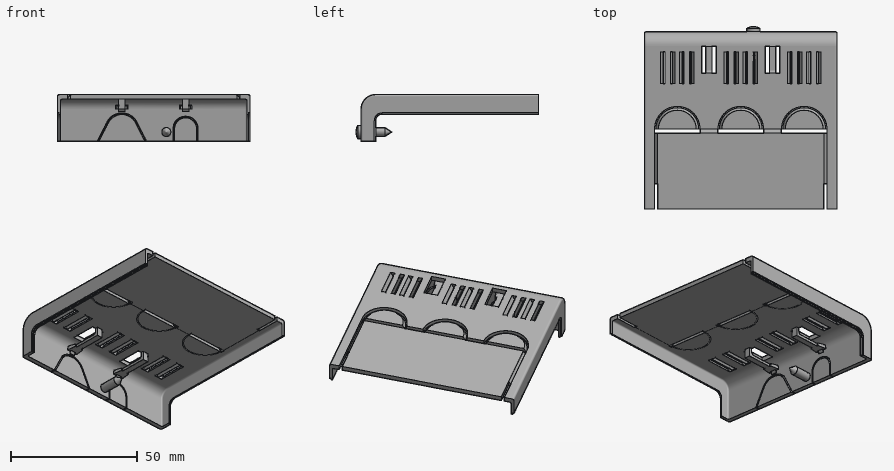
import cadquery as cq
import math

width = 76.2
depth = 70.2
height = 18.5
plate_thickness = 1.9
side_thickness = 1.2
bend_radius = 5.9
outer_edge_radius = 0.9
inner_edge_radius = 0.6
overlap = 0.8

skin_thickness = 0.6
skin_height = 7.25
skin_leg_width = 5.25
skin_corner_radius = 3.2
lip_reach = 0.6

panel_rear = 30.1
panel_half_width = 32.85
panel_gap = 1.5
moon_radius = 9.0
moon_pitch = 25.1
moon_floor_width = 0.5
moon_flank_width = 1.0
web_thickness = 0.4
side_web_front = 10.0

vent_width = 1.7
vent_length = 12.5
vent_setback = 8.1
vent_shift = 1.15
vent_inner_offset = 1.7
vent_outer_offset = 5.8

latch_spacing = 25.15
window_width = 5.65
window_length = 10.6
latch_width = 2.5
latch_wall = 1.2
latch_bottom = 5.7
latch_fillet = 1.2
root_width = 4.95
root_top = 4.05
root_taper = 0.5
gusset_drop = 1.1
gusset_run = 0.7

score_width = 0.6
score_flank = 0.45
arch_x = -latch_spacing / 2
arch_radius = 6.6
arch_center_z = 4.6
arch_lean = 27.0
upright_x = latch_spacing / 2
upright_radius = 4.95
upright_center_z = 4.95

screw_x = 4.95
screw_z = 3.65
head_radius = 2.7
head_rim = 1.2
head_height = 2.0
shank_radius = 1.79
shank_end = 9.45
tip_end = 12.2

plate_bottom = height - plate_thickness
wall_inside = depth - plate_thickness
bend_start = depth - bend_radius
web_top = plate_bottom + web_thickness
score_depth = plate_thickness - web_thickness
moon_y = panel_rear + panel_gap
moon_centers = [i * moon_pitch for i in (-1, 0, 1)]
opening_half_width = moon_pitch + moon_radius
latch_centers = [-latch_spacing / 2, latch_spacing / 2]


def box(x0, x1, y0, y1, z0, z1):
    return cq.Workplane("XY").box(x1 - x0, y1 - y0, z1 - z0, centered=False).translate((x0, y0, z0))


def prism_x(points, x0, x1):
    """Extrude a closed (y, z) outline from x0 to x1."""
    return cq.Workplane("YZ", origin=(x0, 0, 0)).polyline(points).close().extrude(x1 - x0)


def prism_y(points, y0, y1):
    """Extrude a closed (x, z) outline from y0 to y1."""
    return cq.Workplane("XZ", origin=(0, y0, 0)).polyline(points).close().extrude(y0 - y1)


def bent_block(half_width, front, rear, bottom, top, bend, edge_radius):
    """Block with a rounded top rear edge and softened edges along its two sides."""
    block = box(-half_width, half_width, front, rear, bottom, top)
    block = block.edges(">Y and >Z").fillet(bend)
    return block.faces(">Z").edges(">X or <X").fillet(edge_radius)


def side_opening(x0, x1, leg_width, wall_height, corner_radius):
    """Space below the side wall and in front of its rear leg."""
    opening = box(x0, x1, -overlap, depth - leg_width, -overlap, height - wall_height)
    return opening.edges(">Y and >Z").fillet(corner_radius)


def make_shell():
    shell = bent_block(width / 2, 0, depth, 0, height, bend_radius, outer_edge_radius)
    cavity = bent_block(
        width / 2 - side_thickness, -overlap, wall_inside, -overlap, plate_bottom,
        bend_radius - plate_thickness, inner_edge_radius,
    )
    shell = shell.cut(cavity)
    outside = width / 2 + overlap
    skin_inside = width / 2 - skin_thickness
    for x0, x1 in ((-outside, -skin_inside), (skin_inside, outside)):
        shell = shell.cut(side_opening(x0, x1, skin_leg_width, skin_height, skin_corner_radius))
    return shell.cut(side_opening(
        -outside, outside, skin_leg_width + lip_reach,
        skin_height + lip_reach, skin_corner_radius - lip_reach,
    ))


def cut_panel(body):
    """Free the front panel, leaving thin sloping webs at its sides and rear."""
    z0, z1 = plate_bottom - overlap, height + overlap
    body = body.cut(box(-opening_half_width, opening_half_width, panel_rear, moon_y, z0, z1))
    for side in (-1, 1):
        slot_edges = sorted((side * panel_half_width, side * opening_half_width))
        body = body.cut(box(*slot_edges, -overlap, moon_y, z0, z1))
        side_web = [
            (side * (opening_half_width + overlap), plate_bottom),
            (side * (panel_half_width - overlap), plate_bottom),
            (side * (panel_half_width - overlap), height),
            (side * panel_half_width, height),
            (side * opening_half_width, web_top),
            (side * (opening_half_width + overlap), web_top),
        ]
        body = body.union(prism_y(side_web, side_web_front, panel_rear))
    rear_web = [
        (panel_rear - overlap, plate_bottom),
        (moon_y + overlap, plate_bottom),
        (moon_y + overlap, web_top),
        (moon_y, web_top),
        (panel_rear, height),
        (panel_rear - overlap, height),
    ]
    for left, right in zip(moon_centers, moon_centers[1:]):
        body = body.union(prism_x(rear_web, left + moon_radius, right - moon_radius))
    return body


def score_moon(body, x):
    """Half-ring groove with an upright outer wall, a flat floor and a sloping inner flank."""
    floor_inside = moon_radius - moon_floor_width
    groove = [
        (moon_radius, height),
        (moon_radius, web_top),
        (floor_inside, web_top),
        (floor_inside - moon_flank_width, height),
    ]
    ring = cq.Workplane("XZ").polyline(groove).close().revolve(180, (0, 0, 0), (0, 1, 0))
    return body.cut(ring.translate((x, moon_y, 0)))


def cut_vents(body):
    """Groups of four slots above each half-moon, leaning alternately right and left."""
    y1 = depth - vent_setback
    slots = (
        (-vent_outer_offset, vent_shift),
        (-vent_inner_offset, -vent_shift),
        (vent_inner_offset, vent_shift),
        (vent_outer_offset, -vent_shift),
    )
    for center in moon_centers:
        for offset, shift in slots:
            left = center + offset - vent_width / 2
            right = left + vent_width
            outline = [
                (left, height),
                (right, height),
                (right + shift, plate_bottom),
                (left + shift, plate_bottom),
            ]
            body = body.cut(prism_y(outline, y1 - vent_length, y1))
    return body


def leaning_arch(radius):
    """Arch with leaning sides below the wall: tangent point (x, z), foot x and top z."""
    lean = math.radians(arch_lean)
    tangent_x = radius * math.cos(lean)
    tangent_z = arch_center_z + radius * math.sin(lean)
    foot_x = tangent_x + (tangent_z + overlap) * math.tan(lean)
    return tangent_x, tangent_z, foot_x, arch_center_z + radius


def upright_arch(radius):
    """Arch with upright sides, given by the same four values as the leaning one."""
    return radius, upright_center_z, radius, upright_center_z + radius


def score_knockout(body, x, outline, radius):
    """Groove along the outline on the inner wall face, with a sloping flank on the knock-out side."""
    def region(outline_radius):
        tangent_x, tangent_z, foot_x, top_z = outline(outline_radius)
        return (
            cq.Workplane("XZ", origin=(x, wall_inside, 0))
            .moveTo(-foot_x, -overlap)
            .lineTo(-tangent_x, tangent_z)
            .threePointArc((0, top_z), (tangent_x, tangent_z))
            .lineTo(foot_x, -overlap)
            .close()
        )

    flank_taper = -math.degrees(math.atan(score_flank / score_depth))
    knockout = region(radius - score_width).extrude(-score_depth, taper=flank_taper)
    return body.cut(region(radius).extrude(-score_depth).cut(knockout))


def cut_window(body, x):
    return body.cut(box(
        x - window_width / 2, x + window_width / 2,
        bend_start - window_length, bend_start,
        plate_bottom, height,
    ))


def add_latch(body, x):
    """L-shaped strap from the front of the window back to the rear wall, with a flared root and a gusset."""
    front = bend_start - window_length
    bottom = height - latch_bottom
    strap_outline = [
        (front - latch_wall, plate_bottom + overlap),
        (front - latch_wall, bottom),
        (wall_inside + overlap, bottom),
        (wall_inside + overlap, bottom + latch_wall),
        (front, bottom + latch_wall),
        (front, plate_bottom + overlap),
    ]
    x0, x1 = x - latch_width / 2, x + latch_width / 2
    strap = prism_x(strap_outline, x0, x1)
    inner_corner = cq.selectors.NearestToPointSelector((x, front, bottom + latch_wall))
    strap = strap.edges(inner_corner).fillet(latch_fillet)
    wall_reach = wall_inside + score_depth
    gusset_outline = [
        (wall_inside - gusset_run, bottom),
        (wall_reach, bottom - gusset_drop * (1 + score_depth / gusset_run)),
        (wall_reach, bottom),
    ]
    gusset = prism_x(gusset_outline, x0, x1)
    return body.union(make_root(x, bottom)).union(strap).union(gusset)


def make_root(x, bottom):
    """Block at the rear end of the strap, narrowing toward the front."""
    base_height = height - root_top - bottom
    tip_height = base_height - root_taper
    root_length = wall_inside - bend_start
    return (
        cq.Workplane("XZ", origin=(x, wall_inside, bottom + base_height / 2))
        .rect(root_width, base_height)
        .workplane(offset=root_length)
        .center(0, -root_taper / 2)
        .rect(root_width - 2 * root_taper, tip_height)
        .loft()
    )


def make_screw():
    """Screw with a domed head behind the rear wall and a pointed shank in front of it."""
    dome_height = head_height - head_rim
    dome_radius = (head_radius**2 + dome_height**2) / (2 * dome_height)
    half_x = head_radius / 2
    half_y = head_height - dome_radius + math.sqrt(dome_radius**2 - half_x**2)
    return (
        cq.Workplane("XY")
        .moveTo(0, -tip_end)
        .lineTo(shank_radius, -shank_end)
        .lineTo(shank_radius, 0)
        .lineTo(head_radius, 0)
        .lineTo(head_radius, head_rim)
        .threePointArc((half_x, half_y), (0, head_height))
        .close()
        .revolve(360, (0, 0, 0), (0, 1, 0))
        .translate((screw_x, depth, screw_z))
    )


body = cut_panel(make_shell())
for moon_x in moon_centers:
    body = score_moon(body, moon_x)
body = cut_vents(body)
body = score_knockout(body, arch_x, leaning_arch, arch_radius)
body = score_knockout(body, upright_x, upright_arch, upright_radius)
for latch_x in latch_centers:
    body = add_latch(cut_window(body, latch_x), latch_x)
result = body.union(make_screw())